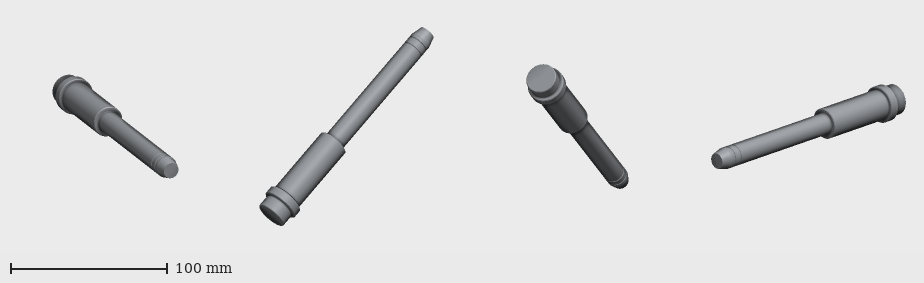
import cadquery as cq
import math

TOTAL_LENGTH = 160.0
BODY_DIAMETER = 20.0
BODY_LENGTH = 64.0
BODY_CHAMFER = 0.5

GROOVE_RADIUS = 0.5

COLLAR_DIAMETER = 24.0
COLLAR_START = 9.0
COLLAR_WIDTH = 6.0
COLLAR_CHAMFER = 0.5

SHAFT_DIAMETER = 14.0
ROOT_FILLET = 0.5
TIP_LENGTH = 7.0
TIP_HALF_ANGLE = 15.0
FIRST_GROOVE_START = 144.5
GROOVE_PITCH = 5.0
GROOVE_COUNT = 2


def cylinder(start, length, diameter):
    """Solid cylinder along X."""
    return cq.Workplane("YZ", origin=(start, 0, 0)).circle(diameter / 2).extrude(length)


def groove_ring(start, diameter):
    """Torus that cuts a half-round groove into a cylinder of the given diameter."""
    section = cq.Workplane("XZ").center(start + GROOVE_RADIUS, diameter / 2).circle(GROOVE_RADIUS)
    return section.revolve(360, (0, -diameter / 2, 0), (1, -diameter / 2, 0))


def make_body():
    """Thick cylinder, chamfered at both ends, grooved on both sides of the collar."""
    body = cylinder(0, BODY_LENGTH, BODY_DIAMETER).faces("<X or >X").chamfer(BODY_CHAMFER)
    for start in (COLLAR_START - 2 * GROOVE_RADIUS, COLLAR_START + COLLAR_WIDTH):
        body = body.cut(groove_ring(start, BODY_DIAMETER))
    return body


def make_collar():
    """Locating collar, chamfered on both rims."""
    collar = cylinder(COLLAR_START, COLLAR_WIDTH, COLLAR_DIAMETER)
    return collar.faces("<X or >X").chamfer(COLLAR_CHAMFER)


def make_shaft():
    """Revolved shaft with its root fillet and tapered tip, then grooved."""
    radius = SHAFT_DIAMETER / 2
    tip_radius = radius - TIP_LENGTH * math.tan(math.radians(TIP_HALF_ANGLE))
    arc_offset = ROOT_FILLET * (1 - math.sqrt(0.5))
    profile = (
        cq.Workplane("XZ")
        .moveTo(BODY_LENGTH, 0)
        .lineTo(BODY_LENGTH, radius + ROOT_FILLET)
        .threePointArc(
            (BODY_LENGTH + arc_offset, radius + arc_offset),
            (BODY_LENGTH + ROOT_FILLET, radius),
        )
        .lineTo(TOTAL_LENGTH - TIP_LENGTH, radius)
        .lineTo(TOTAL_LENGTH, tip_radius)
        .lineTo(TOTAL_LENGTH, 0)
        .close()
    )
    shaft = profile.revolve(360, (0, 0, 0), (1, 0, 0))
    for index in range(GROOVE_COUNT):
        start = FIRST_GROOVE_START + index * GROOVE_PITCH
        shaft = shaft.cut(groove_ring(start, SHAFT_DIAMETER))
    return shaft


result = make_body().union(make_collar()).union(make_shaft())